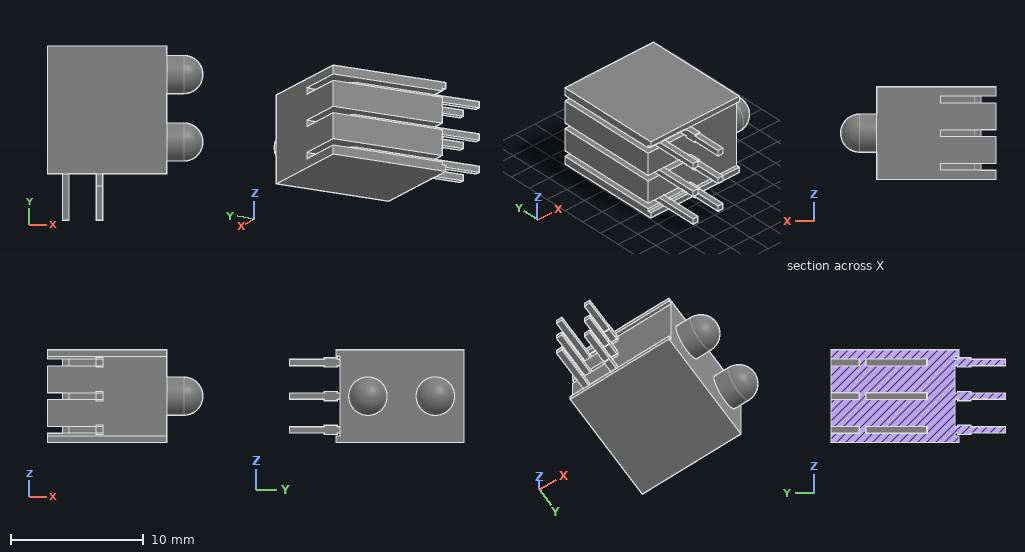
import cadquery as cq
import math


body_depth = 9.0
body_length = 9.65
body_height = 7.0
plate_thickness = 0.5
plate_overhang = 0.3

led_radius = 1.45
led_reach = 2.72
led_count = 2
led_pitch = 5.08
led_embedment = 0.5
led_inset = 2.16

lead_width = 0.5
lead_pitch = 2.54
lead_protrusion = 3.5
lead_inset = 1.13
bend_inset = 2.12
bend_radius = lead_width
lead_embedment = 0.5

collar_height = 0.72
collar_length = 1.0
collar_start = 0.11

lead_levels = [level * lead_pitch for level in (-1, 0, 1)]
lead_tip_y = -lead_protrusion
second_row_x = lead_inset + lead_pitch
slot_depth = second_row_x + lead_width


def box(x_start, x_size, y_start, y_size, z_center, z_size):
    """Box placed by its low X and Y sides and centred on a Z level."""
    return (
        cq.Workplane("XY")
        .box(x_size, y_size, z_size, centered=(False, False, True))
        .translate((x_start, y_start, z_center))
    )


def make_housing():
    """Block with a recessed board side and one open lead slot per level."""
    housing = box(0, body_depth, 0, body_length, 0, body_height)
    recess_height = body_height - 2 * plate_thickness
    housing = housing.cut(box(0, body_depth, 0, plate_overhang, 0, recess_height))
    for level in lead_levels:
        housing = housing.cut(box(0, slot_depth, 0, body_length, level, lead_width))
    return housing


def make_led(axis_y):
    """Round lens with a domed tip, its axis parallel to X."""
    barrel_end = body_depth + led_reach - led_radius
    dome_tip = body_depth + led_reach
    dome_middle = led_radius * math.cos(math.pi / 4)
    return (
        cq.Workplane("XY", origin=(0, axis_y, 0))
        .moveTo(body_depth - led_embedment, 0)
        .lineTo(body_depth - led_embedment, led_radius)
        .lineTo(barrel_end, led_radius)
        .threePointArc((barrel_end + dome_middle, dome_middle), (dome_tip, 0))
        .close()
        .revolve(360, (0, 0, 0), (1, 0, 0))
    )


def make_lead(outer_x, bend_y, level):
    """Square lead that runs along Y, then turns into the slot floor."""
    arm_end_x = slot_depth + lead_embedment
    bend_center_x = outer_x + bend_radius
    bend_center_y = bend_y - bend_radius
    bend_middle = bend_radius * math.cos(math.pi / 4)
    return (
        cq.Workplane("XY", origin=(0, 0, level - lead_width / 2))
        .moveTo(outer_x, lead_tip_y)
        .lineTo(outer_x, bend_center_y)
        .threePointArc(
            (bend_center_x - bend_middle, bend_center_y + bend_middle),
            (bend_center_x, bend_y),
        )
        .lineTo(arm_end_x, bend_y)
        .lineTo(arm_end_x, bend_y - lead_width)
        .lineTo(outer_x + lead_width, bend_y - lead_width)
        .lineTo(outer_x + lead_width, lead_tip_y)
        .close()
        .extrude(lead_width)
    )


def make_collar(level):
    """Thickened stand-off stretch of a second-row lead."""
    collar_y = collar_start - collar_length
    return box(second_row_x, lead_width, collar_y, collar_length, level, collar_height)


result = make_housing()

for led_index in range(led_count):
    led_shift = led_index * led_pitch
    row_x = lead_inset + led_index * lead_pitch
    result = result.union(make_led(body_length - led_inset - led_shift))
    for lead_level in lead_levels:
        result = result.union(make_lead(row_x, body_length - bend_inset - led_shift, lead_level))

for lead_level in lead_levels:
    result = result.union(make_collar(lead_level))